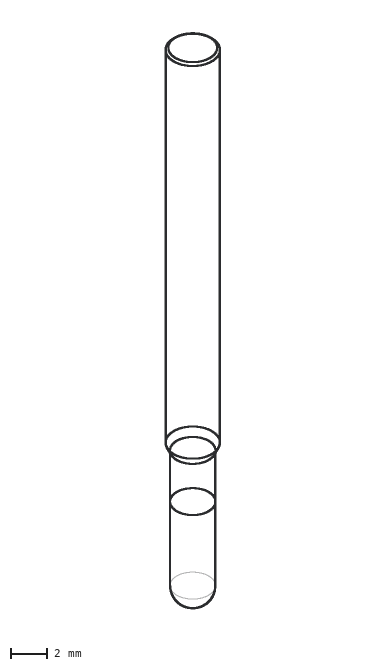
import cadquery as cq

total_length = 38.0
shank_diameter = 3.0
neck_diameter = 2.5
tip_length = 7.0
neck_length = 3.5
shoulder_height = 0.55
top_chamfer = 0.15

shank_radius = shank_diameter / 2
neck_radius = neck_diameter / 2
shoulder_bottom = tip_length + neck_length
shoulder_top = shoulder_bottom + shoulder_height


def make_shank():
    """Chamfered round shank that tapers down to a slimmer neck."""
    return (
        cq.Workplane("XZ")
        .moveTo(0, tip_length)
        .lineTo(neck_radius, tip_length)
        .lineTo(neck_radius, shoulder_bottom)
        .lineTo(shank_radius, shoulder_top)
        .lineTo(shank_radius, total_length - top_chamfer)
        .lineTo(shank_radius - top_chamfer, total_length)
        .lineTo(0, total_length)
        .close()
        .revolve(360, (0, 0, 0), (0, 1, 0))
    )


def make_tip():
    """Cylinder as wide as the neck, ending in a hemisphere at Z = 0."""
    cylinder = (
        cq.Workplane("XY")
        .workplane(offset=neck_radius)
        .circle(neck_radius)
        .extrude(tip_length - neck_radius)
    )
    ball = cq.Workplane("XY").sphere(neck_radius).translate((0, 0, neck_radius))
    return cylinder.union(ball)


shank = make_shank()
tip = make_tip()

result = cq.Compound.makeCompound([shank.val(), tip.val()])